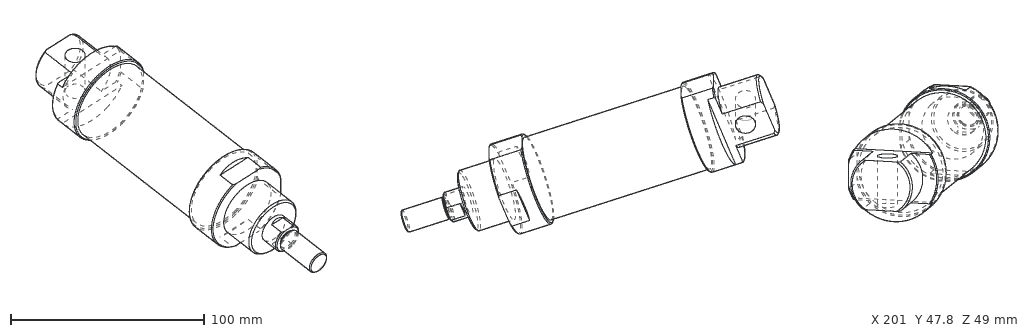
import cadquery as cq


total_length = 201.0
lug_length = 22.1
rear_collar_length = 17.9
tube_length = 87.6
front_collar_length = 18.3
bushing_length = 20.3
rod_land_length = 10.9
neck_length = 1.0

collar_radius = 24.5
tube_radius = 22.5
boss_radius = 16.5
rod_radius = 8.0
thread_radius = 6.0
neck_radius = 5.2

collar_chamfer = 0.6
boss_chamfer = 1.0
rod_chamfer = 0.6
thread_chamfer = 0.6

lug_half_thickness = 13.0
step_end_x = 26.1
pin_hole_diameter = 10.5
pin_hole_x = 13.0

side_flat_y = 23.3
wrench_flat_z = 22.5
wrench_flat_length = 10.3
wrench_flat_run_out = 1.0
rod_flat_z = 7.0
rod_flat_length = 8.0
rod_flat_run_out = 0.8

tube_start = lug_length + rear_collar_length
front_collar_start = tube_start + tube_length
bushing_start = front_collar_start + front_collar_length
rod_start = bushing_start + bushing_length
neck_start = rod_start + rod_land_length
thread_start = neck_start + neck_length


def cylinder_along_x(start, end, radius):
    """Round bar on the X axis between two X positions."""
    return cq.Workplane("YZ", origin=(start, 0, 0)).circle(radius).extrude(end - start)


def block(x_range, y_range, z_range):
    """Box spanning the given (low, high) ranges."""
    (x0, x1), (y0, y1), (z0, z1) = x_range, y_range, z_range
    return cq.Workplane("XY").box(x1 - x0, y1 - y0, z1 - z0, centered=False).translate((x0, y0, z0))


def collar(start, end):
    """Head collar with both rims chamfered and one flat on its +Y side."""
    ring = cylinder_along_x(start, end, collar_radius).faces("<X or >X").chamfer(collar_chamfer)
    flat_cut = block(
        (start, end), (side_flat_y, 2 * collar_radius), (-collar_radius, collar_radius)
    )
    return ring.cut(flat_cut)


def cut_flat_pair(body, end, length, flat_z, outer_radius, run_out):
    """Cut flats at +Z and -Z that end at X = end and slope up to the round surface."""
    flat_start = end - length
    depth = outer_radius - flat_z
    cutter = (
        cq.Workplane("XZ")
        .moveTo(flat_start, flat_z)
        .lineTo(end, flat_z)
        .lineTo(end, flat_z + depth)
        .lineTo(flat_start - run_out, flat_z + depth)
        .close()
        .extrude(outer_radius, both=True)
    )
    return body.cut(cutter).cut(cutter.mirror("XY"))


def make_rear_head():
    """Rear collar with a flat-sided lug and a cross hole for the pivot pin."""
    lug = cylinder_along_x(0, lug_length, boss_radius).faces("<X").chamfer(boss_chamfer)
    head = lug.union(collar(lug_length, tube_start))
    across = (-collar_radius, collar_radius)
    upper_step = block((0, step_end_x), across, (lug_half_thickness, collar_radius))
    pin_hole = (
        cq.Workplane("XY")
        .center(pin_hole_x, 0)
        .circle(pin_hole_diameter / 2)
        .extrude(lug_half_thickness, both=True)
    )
    return head.cut(upper_step).cut(upper_step.mirror("XY")).cut(pin_hole)


def make_tube():
    """Plain barrel between the two heads."""
    return cylinder_along_x(tube_start, front_collar_start, tube_radius)


def make_front_head():
    """Front collar with wrench flats and the round bushing ahead of it."""
    front_collar = cut_flat_pair(
        collar(front_collar_start, bushing_start),
        bushing_start,
        wrench_flat_length,
        wrench_flat_z,
        collar_radius,
        wrench_flat_run_out,
    )
    bushing = cylinder_along_x(bushing_start, rod_start, boss_radius).faces(">X").chamfer(boss_chamfer)
    return front_collar.union(bushing)


def make_rod():
    """Piston rod end: land with wrench flats, relief neck and thread."""
    land = cylinder_along_x(rod_start, neck_start, rod_radius).faces(">X").chamfer(rod_chamfer)
    land = cut_flat_pair(
        land, neck_start, rod_flat_length, rod_flat_z, rod_radius, rod_flat_run_out
    )
    neck = cylinder_along_x(neck_start, thread_start, neck_radius)
    thread = cylinder_along_x(thread_start, total_length, thread_radius)
    thread = thread.faces(">X").chamfer(thread_chamfer)
    return land.union(neck).union(thread)


rear_head = make_rear_head()
tube = make_tube()
front_head = make_front_head()
rod = make_rod()

result = cq.Compound.makeCompound(
    [rear_head.val(), tube.val(), front_head.val(), rod.val()]
)